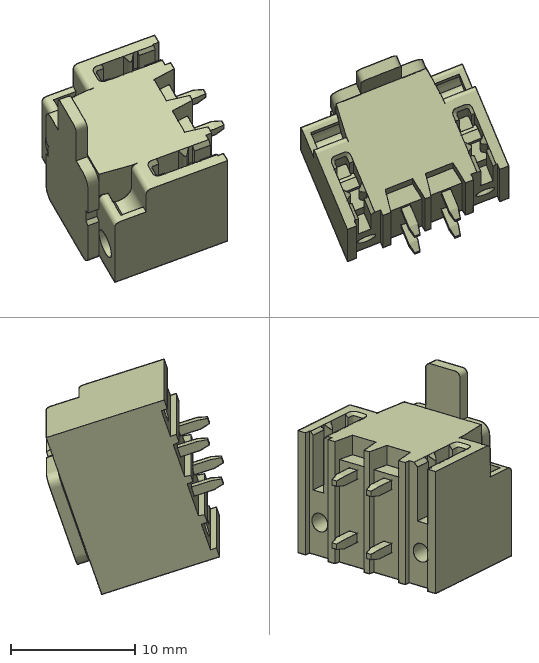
import cadquery as cq
import math

HOUSING_WIDTH = 14.0
HOUSING_DEPTH = 10.0
HOUSING_HEIGHT = 10.64
HALF_WIDTH = HOUSING_WIDTH / 2
EDGE_RADIUS = 0.5

STEP_DEPTH = 2.78
STEP_FLOOR_Z = 7.8
CORE_HALF_FRONT = 3.92
CORE_HALF_REAR = 4.19
TROUGH_RADIUS = 1.41
TROUGH_RAMP_LENGTHS = (0.32, 0.26)
TROUGH_RAMP_ANGLES = (40, 50)
TROUGH_OUTER_X = 6.44

SCREW_X = 5.15
SCREW_Z = 2.93
SCREW_BORE_DIAMETER = 1.6
SCREW_SEAT_DIAMETER = 1.83
SCREW_RECESS_DIAMETER = 2.36
SCREW_RECESS_FLOOR_DIAMETER = 2.28
SCREW_RECESS_DEPTH = 0.8

REAR_RECESS_DEPTH = 0.5
REAR_FACE_Y = HOUSING_DEPTH - REAR_RECESS_DEPTH
ANCHOR_RECESS_INNER_X = 3.93
ANCHOR_RECESS_OUTER_X = 6.2
NOTCH_WIDTH_REAR = 2.97
NOTCH_WIDTH_FRONT = 2.37
NOTCH_FRONT_Y = 8.07
NOTCH_HEIGHT = 1.7

PIN_PITCH_X = 3.5
PIN_PITCH_Z = 5.5
PIN_SIZE = 0.8
PIN_TIP_SIZE = 0.47
PIN_TAPER_LENGTH = 0.83
PIN_END_Y = 12.0
PIN_EMBEDDED_LENGTH = 4.0
PIN_START_Y = REAR_FACE_Y - PIN_EMBEDDED_LENGTH
PIN_CENTRES = [
    (side_x * PIN_PITCH_X / 2, HOUSING_HEIGHT / 2 + side_z * PIN_PITCH_Z / 2)
    for side_x in (-1, 1)
    for side_z in (-1, 1)
]

SLOT_INNER_X = 4.43
SLOT_OUTER_X = 6.1
SLOT_FRONT_Y = 3.97
SLOT_CORNER_RADIUS = 0.46
LEAD_IN_DEPTH = 0.45
LEAD_IN_ANGLE = 45
SLOT_OVERRUN = 1.0
CHANNEL_INNER_X = 4.77
CHANNEL_OUTER_X = 5.83
CHANNEL_FRONT_Y = 4.25
CHANNEL_CORNER_RADIUS = SLOT_CORNER_RADIUS - (CHANNEL_FRONT_Y - SLOT_FRONT_Y)
CHANNEL_FLOOR_Z = 5.6
POCKET_FRONT_Y = 4.92
POCKET_REAR_Y = NOTCH_FRONT_Y
POCKET_FLOOR_Z = 5.0
RIB_WIDTH = 0.9
RIB_HEIGHT = 0.45
RIB_SHOULDER_WIDTH = 0.38
RIB_SHOULDER_HEIGHT = 0.32
RIB_Y = 7.26

ANCHOR_WIDTH = 1.6
ANCHOR_OUTER_X = SLOT_OUTER_X
ANCHOR_INNER_X = ANCHOR_OUTER_X - ANCHOR_WIDTH
ANCHOR_TOP_Z = 8.2
ANCHOR_SHELF_Z = 7.6
ANCHOR_STEP_Y = 6.47
ANCHOR_SLOPE_TOP_Y = 5.64
ANCHOR_SLOPE_FOOT_Y = 5.16
ANCHOR_SLOPE_FOOT_Z = ANCHOR_TOP_Z - (ANCHOR_SLOPE_TOP_Y - ANCHOR_SLOPE_FOOT_Y)
TONGUE_TOP_Y = 5.29

PLATE_THICKNESS = 1.0
PLATE_WIDTH = 8.0
PLATE_BOTTOM_Z = -0.77
PLATE_TOP_Z = 10.41
PLATE_CORNER_RADIUS = 1.0
TAB_WIDTH = 3.5
PLATE_OVERALL_HEIGHT = 15.4
TAB_TOP_Z = PLATE_BOTTOM_Z + PLATE_OVERALL_HEIGHT
TAB_CORNER_RADIUS = 0.5
PLATE_NOTCH_DEPTH = 0.4
PLATE_NOTCH_OUTER = 1.68
PLATE_NOTCH_INNER = 1.22


def box(x_range, y_range, z_range):
    """Axis-aligned block between the given limits."""
    size = [high - low for low, high in (x_range, y_range, z_range)]
    corner = (x_range[0], y_range[0], z_range[0])
    return cq.Workplane("XY").box(*size, centered=False).translate(corner)


def mirror_x(shape):
    return shape.mirror("YZ")


def beside_core(bottom_z, top_z):
    """Space to the right of the drafted core, in front of the step wall."""
    return (
        cq.Workplane("XY").workplane(offset=bottom_z)
        .polyline([
            (CORE_HALF_FRONT, 0),
            (HALF_WIDTH, 0),
            (HALF_WIDTH, STEP_DEPTH),
            (CORE_HALF_REAR, STEP_DEPTH),
        ]).close()
        .extrude(top_z - bottom_z)
    )


def right_trough_cut():
    """Trough in the step floor: a quarter round at the rear, two ramps at the front."""
    bottom_y = STEP_DEPTH - TROUGH_RADIUS
    bottom_z = STEP_FLOOR_Z - TROUGH_RADIUS
    arc_offset = TROUGH_RADIUS * math.sin(math.radians(45))
    arc_middle = (bottom_y + arc_offset, STEP_FLOOR_Z - arc_offset)
    profile = (
        cq.Workplane("YZ").workplane(offset=CORE_HALF_FRONT)
        .moveTo(STEP_DEPTH, STEP_FLOOR_Z)
        .threePointArc(arc_middle, (bottom_y, bottom_z))
    )
    for length, angle in zip(TROUGH_RAMP_LENGTHS, TROUGH_RAMP_ANGLES):
        profile = profile.line(-length, length * math.tan(math.radians(angle)))
    trough = (
        profile.lineTo(bottom_y - sum(TROUGH_RAMP_LENGTHS), STEP_FLOOR_Z)
        .close()
        .extrude(TROUGH_OUTER_X - CORE_HALF_FRONT)
    )
    return trough.intersect(beside_core(0, STEP_FLOOR_Z))


def edge_round_cut(edge_y, edge_z):
    """Material outside a rounded front top edge of a right shoulder."""
    corner = box(
        (CORE_HALF_FRONT, HALF_WIDTH),
        (edge_y, edge_y + EDGE_RADIUS),
        (edge_z - EDGE_RADIUS, edge_z),
    )
    rounding = (
        cq.Workplane("YZ").workplane(offset=CORE_HALF_FRONT)
        .center(edge_y + EDGE_RADIUS, edge_z - EDGE_RADIUS)
        .circle(EDGE_RADIUS)
        .extrude(HALF_WIDTH - CORE_HALF_FRONT)
    )
    return corner.cut(rounding)


def slot_outline(inner_x, outer_x, front_y, radius, z):
    """Slot outline with rounded front corners, running out through the rear."""
    rear_y = HOUSING_DEPTH + SLOT_OVERRUN
    arc_inset = radius * (1 - math.sin(math.radians(45)))
    return (
        cq.Workplane("XY").workplane(offset=z)
        .moveTo(inner_x, rear_y)
        .lineTo(inner_x, front_y + radius)
        .threePointArc((inner_x + arc_inset, front_y + arc_inset), (inner_x + radius, front_y))
        .lineTo(outer_x - radius, front_y)
        .threePointArc((outer_x - arc_inset, front_y + arc_inset), (outer_x, front_y + radius))
        .lineTo(outer_x, rear_y)
        .close()
    )


def channel_fill(top_z):
    """Space inside the narrow channel, from its floor up to the given height."""
    return slot_outline(
        CHANNEL_INNER_X, CHANNEL_OUTER_X, CHANNEL_FRONT_Y, CHANNEL_CORNER_RADIUS, CHANNEL_FLOOR_Z
    ).extrude(top_z - CHANNEL_FLOOR_Z)


def slot_rib(wall_x, direction):
    """Upright rib with sloped flanks and a rounded crest, standing on a slot wall."""
    shoulder_x = wall_x + direction * RIB_SHOULDER_HEIGHT
    return (
        cq.Workplane("XY").workplane(offset=ANCHOR_SHELF_Z)
        .moveTo(wall_x, RIB_Y - RIB_WIDTH / 2)
        .lineTo(shoulder_x, RIB_Y - RIB_SHOULDER_WIDTH / 2)
        .threePointArc(
            (wall_x + direction * RIB_HEIGHT, RIB_Y),
            (shoulder_x, RIB_Y + RIB_SHOULDER_WIDTH / 2),
        )
        .lineTo(wall_x, RIB_Y + RIB_WIDTH / 2)
        .close()
        .extrude(HOUSING_HEIGHT - ANCHOR_SHELF_Z)
    )


def right_slot_cut():
    channel = channel_fill(HOUSING_HEIGHT)
    pocket = box(
        (SLOT_INNER_X, SLOT_OUTER_X),
        (POCKET_FRONT_Y, POCKET_REAR_Y),
        (POCKET_FLOOR_Z, HOUSING_HEIGHT),
    )
    ribs = slot_rib(SLOT_INNER_X, 1).union(slot_rib(SLOT_OUTER_X, -1))
    lead_in = slot_outline(
        SLOT_INNER_X, SLOT_OUTER_X, SLOT_FRONT_Y, SLOT_CORNER_RADIUS, HOUSING_HEIGHT
    ).extrude(-LEAD_IN_DEPTH, taper=LEAD_IN_ANGLE)
    return channel.union(pocket).cut(ribs).union(lead_in)


def right_screw_hole():
    """Through bore with a conical seat at the bottom of a slightly tapered recess."""
    bore_radius = SCREW_BORE_DIAMETER / 2
    seat_radius = SCREW_SEAT_DIAMETER / 2
    seat_end = SCREW_RECESS_DEPTH + seat_radius - bore_radius
    return (
        cq.Workplane("XY")
        .polyline([
            (0, 0),
            (SCREW_RECESS_DIAMETER / 2, 0),
            (SCREW_RECESS_FLOOR_DIAMETER / 2, SCREW_RECESS_DEPTH),
            (seat_radius, SCREW_RECESS_DEPTH),
            (bore_radius, seat_end),
            (bore_radius, HOUSING_DEPTH),
            (0, HOUSING_DEPTH),
        ]).close()
        .revolve(360, (0, 0, 0), (0, 1, 0))
        .translate((SCREW_X, 0, SCREW_Z))
    )


def pin_notch(x):
    """Tapered notch above a pin column, with a shallow recess down the rear face."""
    slope = (NOTCH_WIDTH_REAR - NOTCH_WIDTH_FRONT) / (HOUSING_DEPTH - NOTCH_FRONT_Y)

    def half_width(y):
        return (NOTCH_WIDTH_FRONT + slope * (y - NOTCH_FRONT_Y)) / 2

    def wedge(front_y, height):
        front, rear = half_width(front_y), half_width(HOUSING_DEPTH)
        return (
            cq.Workplane("XY").workplane(offset=HOUSING_HEIGHT - height)
            .polyline([
                (x - front, front_y),
                (x + front, front_y),
                (x + rear, HOUSING_DEPTH),
                (x - rear, HOUSING_DEPTH),
            ]).close()
            .extrude(height)
        )

    return wedge(NOTCH_FRONT_Y, NOTCH_HEIGHT).union(wedge(REAR_FACE_Y, HOUSING_HEIGHT))


def make_pin(x, z):
    """Square pin with a tapered tip."""
    taper_y = PIN_END_Y - PIN_TAPER_LENGTH
    taper_angle = math.degrees(math.atan((PIN_SIZE - PIN_TIP_SIZE) / 2 / PIN_TAPER_LENGTH))
    shank = (
        cq.Workplane("XZ").rect(PIN_SIZE, PIN_SIZE)
        .extrude(-(taper_y - PIN_START_Y))
        .translate((x, PIN_START_Y, z))
    )
    tip = (
        cq.Workplane("XZ").rect(PIN_SIZE, PIN_SIZE)
        .extrude(-PIN_TAPER_LENGTH, taper=taper_angle)
        .translate((x, taper_y, z))
    )
    return shank.union(tip)


def make_right_anchor():
    """Stepped anchor block with a 45 degree front slope and a tongue in the channel."""
    body = (
        cq.Workplane("YZ").workplane(offset=ANCHOR_INNER_X)
        .polyline([
            (ANCHOR_SLOPE_FOOT_Y, POCKET_FLOOR_Z),
            (POCKET_REAR_Y, POCKET_FLOOR_Z),
            (POCKET_REAR_Y, ANCHOR_SHELF_Z),
            (ANCHOR_STEP_Y, ANCHOR_SHELF_Z),
            (ANCHOR_STEP_Y, ANCHOR_TOP_Z),
            (ANCHOR_SLOPE_TOP_Y, ANCHOR_TOP_Z),
            (ANCHOR_SLOPE_FOOT_Y, ANCHOR_SLOPE_FOOT_Z),
        ]).close()
        .extrude(ANCHOR_WIDTH)
    )
    tongue_top_z = ANCHOR_SLOPE_FOOT_Z + TONGUE_TOP_Y - ANCHOR_SLOPE_FOOT_Y
    front_part = box(
        (CHANNEL_INNER_X, CHANNEL_OUTER_X),
        (CHANNEL_FRONT_Y, ANCHOR_SLOPE_TOP_Y),
        (CHANNEL_FLOOR_Z, tongue_top_z),
    )
    tongue = channel_fill(tongue_top_z).intersect(front_part)
    return body.union(tongue)


def make_plate():
    """Cover plate with rounded corners, a pull tab and a notch in each side."""
    half_plate = PLATE_WIDTH / 2
    panel = (
        box(
            (-half_plate, half_plate),
            (-PLATE_THICKNESS, 0),
            (PLATE_BOTTOM_Z, PLATE_TOP_Z),
        )
        .edges("|Y").fillet(PLATE_CORNER_RADIUS)
    )
    tab = (
        box(
            (-TAB_WIDTH / 2, TAB_WIDTH / 2),
            (-PLATE_THICKNESS, 0),
            (PLATE_TOP_Z - PLATE_CORNER_RADIUS, TAB_TOP_Z),
        )
        .edges("|Y and >Z").fillet(TAB_CORNER_RADIUS)
    )
    notch = (
        cq.Workplane("XZ")
        .polyline([
            (half_plate, -PLATE_NOTCH_OUTER / 2),
            (half_plate, PLATE_NOTCH_OUTER / 2),
            (half_plate - PLATE_NOTCH_DEPTH, PLATE_NOTCH_INNER / 2),
            (half_plate - PLATE_NOTCH_DEPTH, -PLATE_NOTCH_INNER / 2),
        ]).close()
        .extrude(PLATE_THICKNESS)
        .translate((0, 0, HOUSING_HEIGHT / 2))
    )
    return panel.union(tab).cut(notch).cut(mirror_x(notch))


def make_housing(pins):
    housing = box((-HALF_WIDTH, HALF_WIDTH), (0, HOUSING_DEPTH), (0, HOUSING_HEIGHT))
    rear_recess = box(
        (ANCHOR_RECESS_INNER_X, ANCHOR_RECESS_OUTER_X),
        (REAR_FACE_Y, HOUSING_DEPTH),
        (0, HOUSING_HEIGHT),
    )
    core_behind_step = box((0, CORE_HALF_REAR), (0, HOUSING_DEPTH), (0, HOUSING_HEIGHT))
    side_cuts = [
        beside_core(STEP_FLOOR_Z, HOUSING_HEIGHT),
        right_trough_cut(),
        edge_round_cut(0, STEP_FLOOR_Z),
        edge_round_cut(STEP_DEPTH, HOUSING_HEIGHT).cut(core_behind_step),
        rear_recess,
        right_slot_cut(),
        right_screw_hole(),
    ]
    for cutter in side_cuts:
        housing = housing.cut(cutter).cut(mirror_x(cutter))
    for side in (-1, 1):
        housing = housing.cut(pin_notch(side * PIN_PITCH_X / 2))
    for pin in pins:
        housing = housing.cut(pin)
    return housing


pins = [make_pin(x, z) for x, z in PIN_CENTRES]
right_anchor = make_right_anchor()
anchors = [right_anchor, mirror_x(right_anchor)]
plate = make_plate()
housing = make_housing(pins)

result = cq.Compound.makeCompound([
    housing.val(),
    plate.val(),
    *[pin.val() for pin in pins],
    *[anchor.val() for anchor in anchors],
])